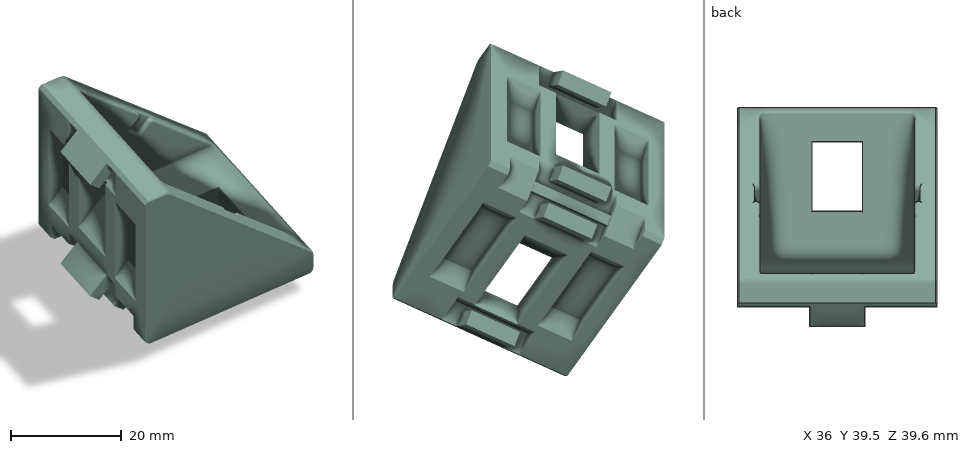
import cadquery as cq


BODY = 36.0
SLOPE_SUM = 40.95
SLOPE_ROUND = 1.98
LEG_TIP_CHAMFER = 0.7
CORNER_CHAMFER = 0.9
SIDE_EDGE_BREAK = 0.25

WALL = 6.0
POCKET_WIDTH = 27.9
POCKET_SIDE_ROUND = 0.47
POCKET_INNER_ROUND = 2.0
RIM_ROUND = 0.47

NOTCH_LENGTH = 3.0
NOTCH_DEPTH = 3.68
NOTCH_ROUND = 1.0
NOTCH_SPAN = 29.9
NOTCH_END_ROUND = 0.3

TAB_WIDTH = 10.0
TAB_REACH = 3.55
TAB_THICKNESS = 1.98
TAB_NOTCH_WIDTH = 16.05
TAB_NOTCH_DEPTH = 2.93
OUTER_TAB = BODY - LEG_TIP_CHAMFER
INNER_TAB = 7.15

HOLE_WIDTH = 9.0
HOLE_START = 11.25
HOLE_END = 29.8
WINDOW_WIDTH = 7.0
WINDOW_OFFSET = 11.2
WINDOW_START = 8.55
WINDOW_END = 27.9
WINDOW_DEPTH = 2.93

CORNER_CUT = 4.27
CORNER_CUT_WIDTH = 28.0
RELIEF_CUT = 4.9

MARGIN = 0.4


def prism(points, width, center_x=0.0):
    """Extrude a (Y, Z) outline along X, centred on center_x."""
    outline = cq.Workplane("YZ", origin=(center_x, 0, 0)).polyline(points).close()
    return outline.extrude(width / 2, both=True)


def on_other_leg(shape):
    """Swap Y and Z of a shape that is symmetric in X."""
    return shape.rotate((0, 0, 0), (0, 1, 1), 180)


def make_body():
    """Outer block: side profile of the bracket with rounded slope ends and broken side edges."""
    slope_end = SLOPE_SUM - BODY
    outline = [
        (CORNER_CHAMFER, 0),
        (OUTER_TAB, 0),
        (BODY, LEG_TIP_CHAMFER),
        (BODY, slope_end),
        (slope_end, BODY),
        (LEG_TIP_CHAMFER, BODY),
        (0, OUTER_TAB),
        (0, CORNER_CHAMFER),
    ]
    body = prism(outline, BODY)
    slope_corners = cq.selectors.BoxSelector(
        (-MARGIN, slope_end - MARGIN, slope_end - MARGIN), (MARGIN, BODY + MARGIN, BODY + MARGIN)
    )
    body = body.edges("|X").edges(slope_corners).fillet(SLOPE_ROUND)

    slope_and_leg_ends = cq.selectors.BoxSelector(
        (-BODY, LEG_TIP_CHAMFER, LEG_TIP_CHAMFER), (BODY, BODY + MARGIN, BODY + MARGIN)
    )
    for side in ("<X", ">X"):
        body = body.faces(side).edges(slope_and_leg_ends).chamfer(SIDE_EDGE_BREAK)
    return body


def make_pocket():
    """Triangular hollow between the two mounting walls."""
    far = SLOPE_SUM - WALL
    pocket = prism([(WALL, WALL), (far, WALL), (WALL, far)], POCKET_WIDTH)
    inner_corner = cq.selectors.BoxSelector(
        (-MARGIN, WALL - MARGIN, WALL - MARGIN), (MARGIN, WALL + MARGIN, WALL + MARGIN)
    )
    pocket = pocket.edges("|X").edges(inner_corner).fillet(POCKET_INNER_ROUND)
    return pocket.faces("<Y or <Z").edges("|Y or |Z").fillet(POCKET_SIDE_ROUND)


def flared_slot(plane, width, flare, length):
    """Slot cut down from the plane's local x axis, rounded outward at its mouth."""
    half = width / 2
    return (
        cq.Workplane(plane)
        .moveTo(-half - flare, 0)
        .radiusArc((-half, -flare), flare)
        .lineTo(-half, -NOTCH_DEPTH)
        .lineTo(half, -NOTCH_DEPTH)
        .lineTo(half, -flare)
        .radiusArc((half + flare, 0), flare)
        .close()
        .extrude(length / 2, both=True)
    )


def make_finger_notches():
    """Slot across the pocket that bites into both pocket sides."""
    middle = (0, SLOPE_SUM / 2, SLOPE_SUM / 2)
    across = cq.Plane(origin=middle, xDir=(0, 1, -1), normal=(1, 0, 0))
    along = cq.Plane(origin=middle, xDir=(1, 0, 0), normal=(0, -1, 1))
    long_sides = flared_slot(across, NOTCH_LENGTH, NOTCH_ROUND, BODY)
    end_walls = flared_slot(along, NOTCH_SPAN, NOTCH_END_ROUND, BODY)
    return long_sides.intersect(end_walls)


def round_pocket_mouth(body):
    """Round the notch edges on the pocket sides; the tangent chain takes in the whole rim."""
    half_width = POCKET_WIDTH / 2 + RIM_ROUND / 2
    near = SLOPE_SUM / 2 - NOTCH_DEPTH - NOTCH_ROUND
    far = SLOPE_SUM / 2 + NOTCH_DEPTH + NOTCH_ROUND
    notch_edges = cq.selectors.BoxSelector((-half_width, near, near), (half_width, far, far))
    return body.edges(notch_edges).fillet(RIM_ROUND)


def tab(top):
    """Tab of the Y = 0 face whose upper surface leaves that face at height top."""
    outline = [
        (0, top),
        (-TAB_REACH, top - TAB_REACH),
        (-TAB_REACH + TAB_THICKNESS, top - TAB_REACH - TAB_THICKNESS),
        (TAB_THICKNESS, top - TAB_THICKNESS),
    ]
    return prism(outline, TAB_WIDTH)


def tab_notch(top):
    """V-shaped notch in the Y = 0 face that frees the tab at height top."""
    outline = [
        (0, top),
        (TAB_NOTCH_DEPTH, top - TAB_NOTCH_DEPTH),
        (0, top - 2 * TAB_NOTCH_DEPTH),
    ]
    return prism(outline, TAB_NOTCH_WIDTH)


def wall_openings():
    """Centre hole and two blind windows of the Y = 0 face."""
    hole_outline = [
        (0, HOLE_START),
        (WALL, HOLE_START + WALL),
        (WALL, HOLE_END),
        (0, HOLE_END),
    ]
    window_outline = [
        (0, WINDOW_START),
        (WINDOW_DEPTH, WINDOW_START + WINDOW_DEPTH),
        (WINDOW_DEPTH, WINDOW_END - WINDOW_DEPTH),
        (0, WINDOW_END),
    ]
    openings = prism(hole_outline, HOLE_WIDTH)
    for side in (-1, 1):
        openings = openings.union(prism(window_outline, WINDOW_WIDTH, side * WINDOW_OFFSET))
    return openings


def corner_cuts():
    """Sloped cuts that open the right-angle corner between its two outer feet."""
    wide_cut = prism([(0, 0), (CORNER_CUT, 0), (0, CORNER_CUT)], CORNER_CUT_WIDTH)
    relief = prism([(0, 0), (RELIEF_CUT, 0), (0, RELIEF_CUT)], TAB_NOTCH_WIDTH)
    return wide_cut.union(relief)


bracket = make_body().cut(make_pocket()).cut(make_finger_notches())
bracket = round_pocket_mouth(bracket).cut(corner_cuts())

leg_cuts = wall_openings().union(tab_notch(OUTER_TAB)).union(tab_notch(INNER_TAB))
bracket = bracket.cut(leg_cuts).cut(on_other_leg(leg_cuts))

leg_tabs = tab(OUTER_TAB).union(tab(INNER_TAB))
result = bracket.union(leg_tabs).union(on_other_leg(leg_tabs))